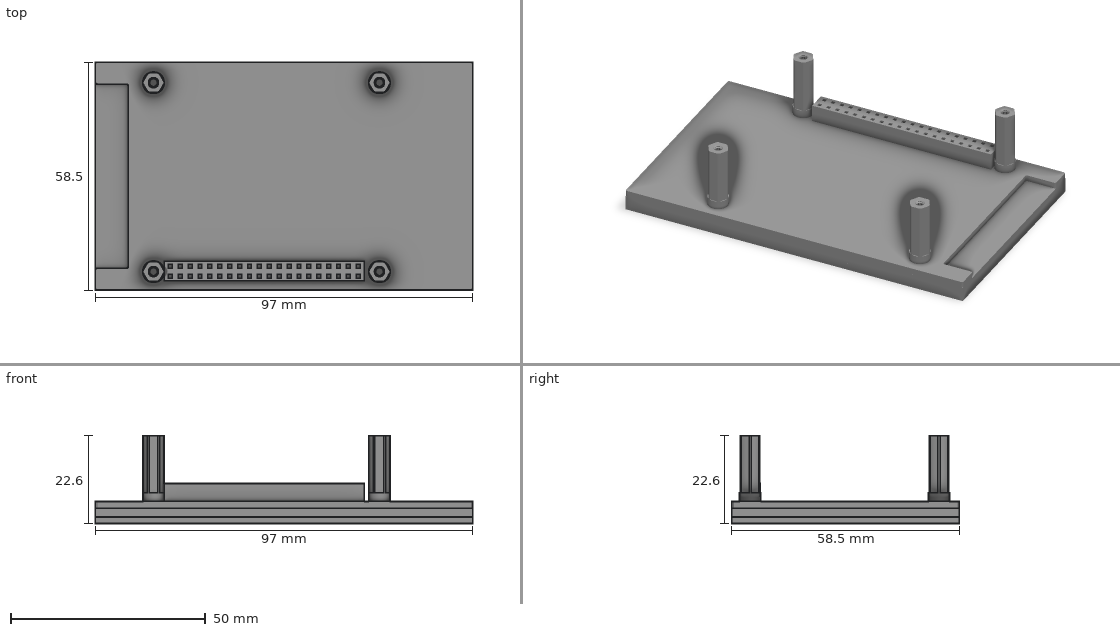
import cadquery as cq

plate_length = 97.0
plate_width = 58.5
base_thickness = 1.6
film_thickness = 0.2
middle_thickness = 2.2
cover_thickness = 1.7
overall_height = 22.6

cover_edge_radius = 0.5
notch_depth = 8.5
notch_width = 47.3

standoff_pitch_x = 58.0
standoff_pitch_y = 48.5
standoff_first_x = 15.0
standoff_first_y = 4.75
collar_diameter = 5.5
collar_height = 2.3
hex_across_flats = 5.0
hex_turn = 30.0

bore_diameter = 2.05
thread_diameter = 2.55
thread_pitch = 0.45
thread_turns = 20

header_length = 51.4
header_width = 5.0
header_height = 4.65
header_center_x = 43.45
header_center_y = 4.85
contact_columns = 20
contact_rows = 2
contact_pitch = 2.54
contact_size = 1.0
contact_depth = 4.0

middle_y = plate_width / 2
film_bottom = base_thickness
middle_bottom = film_bottom + film_thickness
cover_bottom = middle_bottom + middle_thickness
stack_top = cover_bottom + cover_thickness
standoff_height = overall_height - stack_top


def make_plate(bottom, thickness):
    """Plain rectangular plate resting at the given height."""
    plate = cq.Workplane("XY").box(plate_length, plate_width, thickness, centered=False)
    return plate.translate((0, 0, bottom))


def make_cover():
    """Plate with a notch open to the -X edge and every upright edge rounded."""
    notch = (
        cq.Workplane("XY", origin=(0, middle_y, cover_bottom))
        .rect(2 * notch_depth, notch_width)
        .extrude(cover_thickness)
    )
    cover = make_plate(cover_bottom, cover_thickness).cut(notch)
    return cover.edges("|Z").fillet(cover_edge_radius)


def make_threaded_bore():
    """Solid of revolution that fills the threaded bore, from its mouth downwards."""
    root = thread_diameter / 2
    crest = bore_diameter / 2
    profile = [(0, standoff_height), (root, standoff_height)]
    for turn in range(thread_turns):
        groove_z = standoff_height - turn * thread_pitch
        profile.append((crest, groove_z - thread_pitch / 2))
        profile.append((root, groove_z - thread_pitch))
    profile.append((0, standoff_height - thread_turns * thread_pitch))
    return cq.Workplane("XZ").polyline(profile).close().revolve(360, (0, 0, 0), (0, 1, 0))


def make_standoff():
    """Hexagonal pillar with rounded-off corners on a round collar, threaded from the top."""
    round_bar = cq.Workplane("XY").circle(collar_diameter / 2).extrude(standoff_height)
    collar = cq.Workplane("XY").circle(collar_diameter / 2).extrude(collar_height)
    hexagon = (
        cq.Workplane("XY")
        .polygon(6, hex_across_flats, circumscribed=True)
        .extrude(standoff_height)
        .rotate((0, 0, 0), (0, 0, 1), hex_turn)
    )
    return hexagon.intersect(round_bar).union(collar).cut(make_threaded_bore())


def make_header():
    """Bar with two rows of square contact openings in its top face."""
    contacts = (
        cq.Workplane("XY", origin=(0, 0, header_height - contact_depth))
        .rarray(contact_pitch, contact_pitch, contact_columns, contact_rows)
        .rect(contact_size, contact_size)
        .extrude(contact_depth)
    )
    bar = cq.Workplane("XY").rect(header_length, header_width).extrude(header_height)
    return bar.cut(contacts).translate((header_center_x, header_center_y, stack_top))


base_plate = make_plate(0, base_thickness)
film = make_plate(film_bottom, film_thickness)
middle_plate = make_plate(middle_bottom, middle_thickness)
cover_plate = make_cover()
header = make_header()

standoff_shape = make_standoff()
standoffs = []
for column in range(2):
    for row in range(2):
        x = standoff_first_x + column * standoff_pitch_x
        y = standoff_first_y + row * standoff_pitch_y
        standoffs.append(standoff_shape.translate((x, y, stack_top)))

result = cq.Compound.makeCompound(
    [
        base_plate.val(),
        film.val(),
        middle_plate.val(),
        cover_plate.val(),
        header.val(),
        *[standoff.val() for standoff in standoffs],
    ]
)